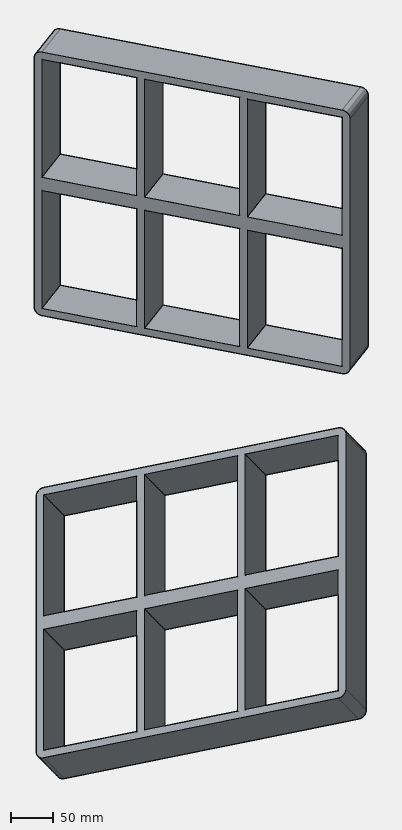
import cadquery as cq

width = 401.5
depth = 60.0
height = 359.0
corner_radius = 10.0

columns = 3
rows = 2
wall = 10.0
shelf_thickness = 18.0

window_width = (width - (columns + 1) * wall) / columns
window_height = (height - 2 * wall - (rows - 1) * shelf_thickness) / rows
column_pitch = window_width + wall
row_pitch = window_height + shelf_thickness


def make_frame_block():
    """Solid block centred on the origin, with its four Y-direction edges rounded."""
    return cq.Workplane("XY").box(width, depth, height).edges("|Y").fillet(corner_radius)


def make_windows():
    """Rectangular prisms on the window grid, reaching through the full depth."""
    return (
        cq.Workplane("XZ")
        .rarray(column_pitch, row_pitch, columns, rows)
        .rect(window_width, window_height)
        .extrude(depth / 2, both=True)
    )


result = make_frame_block().cut(make_windows())